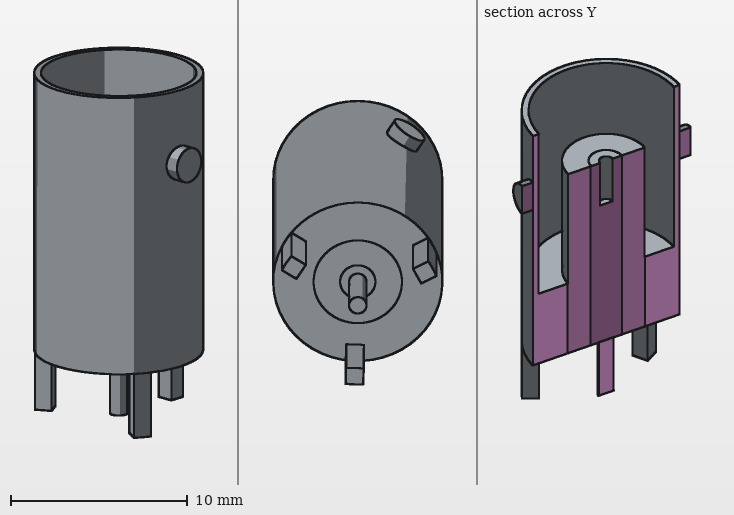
import cadquery as cq

total_height = 20.2
leg_length = 3.8
floor_thickness = 5.0
insulator_top_depth = 3.6
lug_depth = 4.3

shell_radius = 9.6 / 2
bore_radius = 4.4
lug_radius = 1.0
lug_span = 11.0

insulator_radius = 2.5
contact_radius = 1.0
socket_radius = 0.4
socket_depth = 3.03
tail_radius = 0.99 / 2

leg_width = 1.0
leg_thickness = 1.0
leg_angles = [90, 210, 330]

floor_top = leg_length + floor_thickness
insulator_top = total_height - insulator_top_depth
lug_height = total_height - lug_depth
shell_height = total_height - leg_length
insulator_height = insulator_top - leg_length


def upright_cylinder(radius, bottom, height):
    return cq.Workplane("XY").workplane(offset=bottom).circle(radius).extrude(height)


def make_shell():
    """Cup with a deep bore and a hole in its floor for the insulator."""
    body = upright_cylinder(shell_radius, leg_length, shell_height)
    bore = upright_cylinder(bore_radius, floor_top, total_height - floor_top)
    insulator_hole = upright_cylinder(insulator_radius, leg_length, floor_thickness)
    return body.cut(bore).cut(insulator_hole)


def make_insulator():
    """Sleeve that fills the floor hole and stands up inside the bore."""
    sleeve = upright_cylinder(insulator_radius, leg_length, insulator_height)
    return sleeve.cut(upright_cylinder(contact_radius, leg_length, insulator_height))


def make_contact():
    """Rod flush with both ends of the insulator, with a blind socket at the top."""
    rod = upright_cylinder(contact_radius, leg_length, insulator_height)
    return rod.cut(upright_cylinder(socket_radius, insulator_top - socket_depth, socket_depth))


def make_tail():
    """Solder pin below the contact."""
    return upright_cylinder(tail_radius, 0, leg_length)


def make_lug(side):
    """Round lug on the -X (side = -1) or +X (side = 1) flank, seated on the curved shell."""
    rod = (
        cq.Workplane("YZ")
        .center(0, lug_height)
        .circle(lug_radius)
        .extrude(side * lug_span / 2)
    )
    return rod.cut(upright_cylinder(shell_radius, leg_length, shell_height))


def make_leg(angle):
    """Straight leg with flat sides and an outer face that follows the shell radius."""
    bar = (
        cq.Workplane("XY")
        .center(shell_radius - leg_thickness / 2, 0)
        .rect(leg_thickness, leg_width)
        .extrude(leg_length)
    )
    leg = bar.intersect(upright_cylinder(shell_radius, 0, leg_length))
    return leg.rotate((0, 0, 0), (0, 0, 1), angle)


shell = make_shell()
insulator = make_insulator()
contact = make_contact()
tail = make_tail()
lugs = [make_lug(side) for side in (-1, 1)]
legs = [make_leg(angle) for angle in leg_angles]

result = cq.Compound.makeCompound([
    shell.val(),
    insulator.val(),
    contact.val(),
    tail.val(),
    *[lug.val() for lug in lugs],
    *[leg.val() for leg in legs],
])